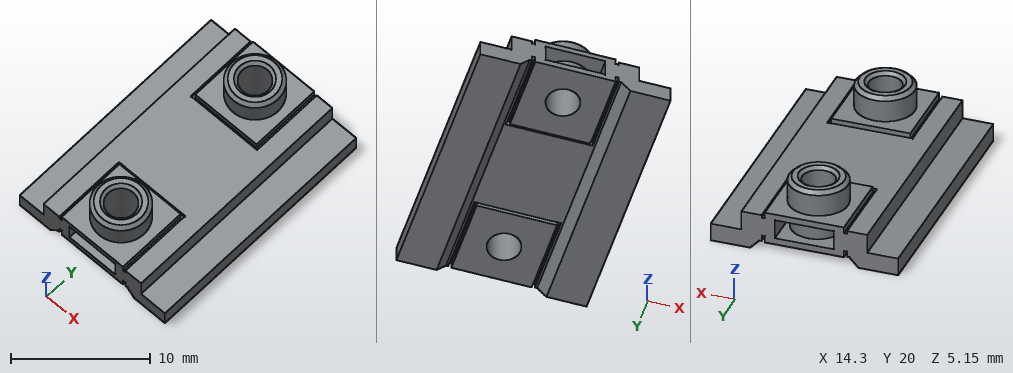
import cadquery as cq

length = 20.0
width = 14.3
flange_height = 1.4
center_width = 9.6
center_height = 2.9
channel_mouth_width = 8.25
channel_floor_width = 6.85
channel_depth = 0.75

spool_end_distance = 3.0
tab_size = 6.05
lower_tab_thickness = 0.52
upper_tab_thickness = 0.48
tab_side_clearance = 0.25
tab_end_clearance = 0.2
web_bottom = 1.18
web_top = 2.68
shank_diameter = 4.05
shank_offset = 0.18
slot_width = 4.5
boss_diameter = 4.5
boss_top = 5.15
boss_chamfer = 0.3
bore_diameter = 2.5
bore_chamfer = 0.25

spool_y = length / 2 - spool_end_distance
recess_width = tab_size + 2 * tab_side_clearance
recess_length = tab_size + tab_end_clearance


def end_block(block_width, block_length, bottom, top):
    """Block centred on X that reaches inward from the +Y end."""
    return cq.Workplane("XY").box(
        block_width, block_length, top - bottom, centered=(True, False, False)
    ).translate((0, length / 2 - block_length, bottom))


def cylinder(diameter, bottom, top):
    """Vertical cylinder on the spool axis near the +Y end."""
    return cq.Workplane("XY", origin=(0, spool_y, bottom)).circle(diameter / 2).extrude(top - bottom)


def make_plate():
    half_profile = [
        (0, channel_depth),
        (channel_floor_width / 2, channel_depth),
        (channel_mouth_width / 2, 0),
        (width / 2, 0),
        (width / 2, flange_height),
        (center_width / 2, flange_height),
        (center_width / 2, center_height),
        (0, center_height),
    ]
    half = cq.Workplane("XZ").polyline(half_profile).close().extrude(length / 2, both=True)
    return half.union(half.mirror("YZ"))


def make_pocket():
    lower_recess = end_block(recess_width, recess_length, 0, web_bottom)
    upper_recess = end_block(recess_width, recess_length, web_top, center_height)
    slot = end_block(slot_width, spool_end_distance, web_bottom, web_top)
    slot_end = cylinder(slot_width, web_bottom, web_top)
    return lower_recess.union(upper_recess).union(slot).union(slot_end)


def make_spool():
    lower_tab = end_block(tab_size, tab_size, web_bottom - lower_tab_thickness, web_bottom)
    upper_tab_top = web_top + upper_tab_thickness
    upper_tab = end_block(tab_size, tab_size, web_top, upper_tab_top)
    shank = cylinder(shank_diameter, web_bottom, web_top).translate((0, shank_offset, 0))
    boss = cylinder(boss_diameter, upper_tab_top, boss_top).faces(">Z").chamfer(boss_chamfer)
    bore = cylinder(bore_diameter, 0, boss_top)
    mouth = (
        cq.Workplane("XY", origin=(0, spool_y, boss_top))
        .circle(bore_diameter / 2 + bore_chamfer)
        .workplane(offset=-bore_chamfer)
        .circle(bore_diameter / 2)
        .loft()
    )
    return lower_tab.union(upper_tab).union(shank).union(boss).cut(bore).cut(mouth)


pocket = make_pocket()
spool = make_spool()
result = make_plate().cut(pocket).cut(pocket.mirror("XZ"))
result = result.union(spool).union(spool.mirror("XZ"))